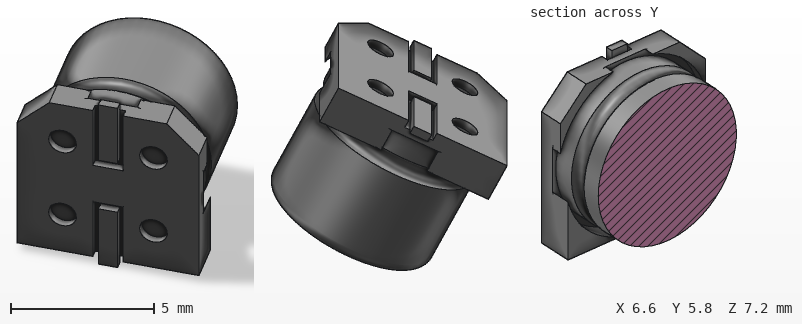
import cadquery as cq


base_width = 6.6
corner_chamfer = 1.17
base_low_height = 1.03
base_high_height = 1.45
floor_thickness = 0.6
seat_radius = 3.42

can_radius = 3.15
can_top = 5.8
can_top_fillet = 0.4
groove_start = base_high_height
groove_end = 2.14
groove_depth = 0.2

lead_width = 0.7
lead_thickness = 0.3
lead_inner_end = 1.1
lead_outer_end = 3.6
channel_width = 1.1
channel_inner_end = 0.82

hole_radius = 0.5
hole_offset = base_width / 4
hole_depth = 0.3


def box(x_range, y_range, z_range):
    """Axis-aligned box spanning the given (low, high) ranges."""
    ranges = (x_range, y_range, z_range)
    lengths = [high - low for low, high in ranges]
    corner = [low for low, high in ranges]
    return cq.Workplane("XY").box(*lengths, centered=False).translate(tuple(corner))


def y_cylinder(radius, start, end, x=0, z=0):
    """Cylinder along Y between two Y positions."""
    solid = cq.Solid.makeCylinder(radius, end - start, cq.Vector(x, start, z), cq.Vector(0, 1, 0))
    return cq.Workplane("XY").add(solid)


def make_base():
    half = base_width / 2
    base = box((-half, half), (0, base_high_height), (-half, half))
    base = base.edges("|Y and >Z").chamfer(corner_chamfer)
    base = base.cut(box((-half, half), (base_low_height, base_high_height), (0, half)))
    base = base.cut(y_cylinder(seat_radius, floor_thickness, base_high_height))

    for x in (-hole_offset, hole_offset):
        for z in (-hole_offset, hole_offset):
            base = base.cut(y_cylinder(hole_radius, 0, hole_depth, x, z))

    for side in (-1, 1):
        z_range = sorted((side * channel_inner_end, side * half))
        base = base.cut(box((-channel_width / 2, channel_width / 2), (0, lead_thickness), z_range))
    return base


def make_can():
    groove_middle = (groove_start + groove_end) / 2
    profile = (
        cq.Workplane("XY")
        .moveTo(0, floor_thickness)
        .lineTo(can_radius, floor_thickness)
        .lineTo(can_radius, groove_start)
        .threePointArc((can_radius - groove_depth, groove_middle), (can_radius, groove_end))
        .lineTo(can_radius, can_top)
        .lineTo(0, can_top)
        .close()
    )
    can = profile.revolve(360, (0, 0, 0), (0, 1, 0))
    return can.faces(">Y").edges().fillet(can_top_fillet)


def make_lead(side):
    z_range = sorted((side * lead_inner_end, side * lead_outer_end))
    return box((-lead_width / 2, lead_width / 2), (0, lead_thickness), z_range)


result = make_base().union(make_can())
for lead_side in (-1, 1):
    result = result.union(make_lead(lead_side))